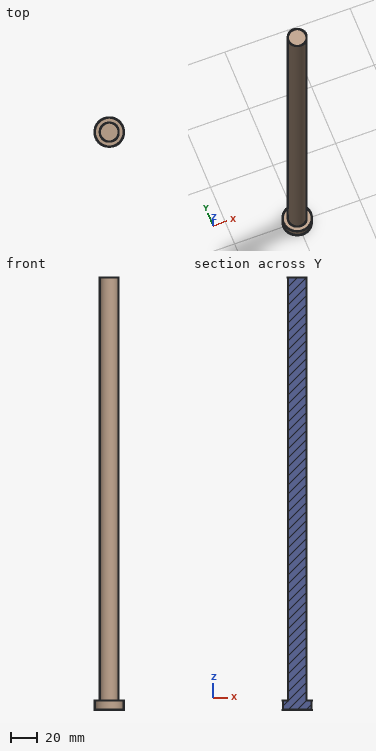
import cadquery as cq

total_length = 322.0
head_diameter = 22.0
head_height = 7.0
shaft_diameter = 14.2

head = cq.Workplane("XY").circle(head_diameter / 2).extrude(head_height)
shaft = cq.Workplane("XY").circle(shaft_diameter / 2).extrude(total_length)

result = head.union(shaft)